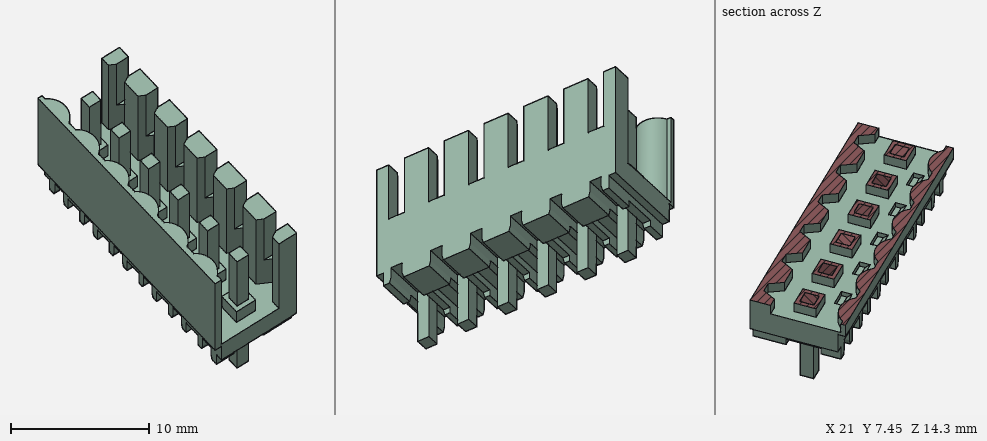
import cadquery as cq
import math


LENGTH = 21.0
DEPTH = 7.45
TOP_Z = 11.05
POLES = 6
PITCH = LENGTH / POLES

FLOOR_Z = 3.13
BASE_FRONT_Y = 0.59
FOOT_HEIGHT = 1.18
FOOT_INSET = 0.59
CHANNEL_FRONT_Y = 2.16
CHANNEL_BACK_Y = 4.87
CHANNEL_HEIGHT = 0.52
FOOT_GAP_WIDTH = 1.39

WALL_BOTTOM_Z = 2.85
WALL_THICKNESS = 0.45
WALL_LEFT_END_THICKNESS = 0.38
WALL_RIGHT_END_THICKNESS = 0.59
SCALLOP_CREST_Y = 1.15
SCALLOP_RADIUS = 1.64

BACK_WALL_FRONT_Y = 5.84
RECESS_BACK_Y = 6.89
RECESS_FRONT_WIDTH = 1.95
RECESS_BACK_WIDTH = 0.78
SLOT_WIDTH = 1.36
SLOT_BOTTOM_Z = 6.0

POCKET_WIDTH = 1.39
POCKET_FRONT_Y = 1.15
POCKET_RAMP_RUN = 0.4
POCKET_BACK_Y = 2.0
POCKET_DEPTH = 0.4

PIN_WIDTH = 0.99
PIN_DEPTH = 1.05
PIN_Y = 3.5
PIN_BOTTOM_Z = -3.21
PIN_TOP_Z = 9.87
COLLAR_SIZE = 1.75
COLLAR_TOP_Z = 4.43
PIN_CHANNEL_HEIGHT = 1.36
MOUTH_FLARE = 0.13
MOUTH_HEIGHT = 0.46

pin_xs = [(i - (POLES - 1) / 2) * PITCH for i in range(POLES)]
between_xs = [x + PITCH / 2 for x in pin_xs[:-1]]


def block(x0, x1, y0, y1, z0, z1):
    """Box between two opposite corners."""
    return cq.Workplane("XY").box(x1 - x0, y1 - y0, z1 - z0, centered=False).translate((x0, y0, z0))


def centred_block(x, width, y0, y1, z0, z1):
    """Box of a given width, centred on x."""
    return block(x - width / 2, x + width / 2, y0, y1, z0, z1)


def make_base():
    """Base block standing on a narrower foot strip with a channel along its underside."""
    half = LENGTH / 2
    foot_half = half - FOOT_INSET
    base = block(-half, half, BASE_FRONT_Y, DEPTH, FOOT_HEIGHT, FLOOR_Z)
    feet = block(-foot_half, foot_half, BASE_FRONT_Y, DEPTH, 0, FOOT_HEIGHT)
    channel = block(-half, half, CHANNEL_FRONT_Y, CHANNEL_BACK_Y, 0, CHANNEL_HEIGHT)
    return base.union(feet).cut(channel)


def make_front_wall():
    """Front wall whose inner face bulges in a circular arc opposite every pin."""
    half = LENGTH / 2
    arc_centre_y = SCALLOP_CREST_Y - SCALLOP_RADIUS

    def arc_half_width(y):
        return math.sqrt(SCALLOP_RADIUS**2 - (y - arc_centre_y) ** 2)

    outline = cq.Workplane("XY").moveTo(-half, 0).lineTo(-half, WALL_LEFT_END_THICKNESS)
    for x in pin_xs:
        start_y = WALL_LEFT_END_THICKNESS if x == pin_xs[0] else WALL_THICKNESS
        end_y = WALL_RIGHT_END_THICKNESS if x == pin_xs[-1] else WALL_THICKNESS
        outline = outline.lineTo(x - arc_half_width(start_y), start_y)
        outline = outline.threePointArc((x, SCALLOP_CREST_Y), (x + arc_half_width(end_y), end_y))
    outline = outline.lineTo(half, WALL_RIGHT_END_THICKNESS).lineTo(half, 0).close()
    scalloped = outline.extrude(TOP_Z - FLOOR_Z).translate((0, 0, FLOOR_Z))
    lip = block(-half, half, 0, BASE_FRONT_Y, WALL_BOTTOM_Z, FLOOR_Z)
    return scalloped.union(lip)


def make_back_wall():
    """Back wall with tapered recesses, open to the back above the slot bottom."""
    wall = block(-LENGTH / 2, LENGTH / 2, BACK_WALL_FRONT_Y, DEPTH, FLOOR_Z, TOP_Z)
    for x in pin_xs:
        recess = (
            cq.Workplane("XY")
            .workplane(offset=FLOOR_Z)
            .polyline([
                (x - RECESS_FRONT_WIDTH / 2, BACK_WALL_FRONT_Y),
                (x + RECESS_FRONT_WIDTH / 2, BACK_WALL_FRONT_Y),
                (x + RECESS_BACK_WIDTH / 2, RECESS_BACK_Y),
                (x - RECESS_BACK_WIDTH / 2, RECESS_BACK_Y),
            ])
            .close()
            .extrude(TOP_Z - FLOOR_Z)
        )
        slot = centred_block(x, SLOT_WIDTH, BACK_WALL_FRONT_Y, DEPTH, SLOT_BOTTOM_Z, TOP_Z)
        wall = wall.cut(recess).cut(slot)
    return wall


def floor_pocket(x):
    """Pocket whose front side is a ramp and whose back side is upright."""
    pocket_z = FLOOR_Z - POCKET_DEPTH
    return (
        cq.Workplane("YZ")
        .polyline([
            (POCKET_FRONT_Y, FLOOR_Z),
            (POCKET_FRONT_Y + POCKET_RAMP_RUN, pocket_z),
            (POCKET_BACK_Y, pocket_z),
            (POCKET_BACK_Y, FLOOR_Z),
        ])
        .close()
        .extrude(POCKET_WIDTH / 2, both=True)
        .translate((x, 0, 0))
    )


def pin_channel(x):
    """Channel as wide as the pin, running from front to back, with a flared mouth."""
    half = PIN_WIDTH / 2
    return (
        cq.Workplane("XZ")
        .polyline([
            (x - half - MOUTH_FLARE, 0),
            (x - half, MOUTH_HEIGHT),
            (x - half, PIN_CHANNEL_HEIGHT),
            (x + half, PIN_CHANNEL_HEIGHT),
            (x + half, MOUTH_HEIGHT),
            (x + half + MOUTH_FLARE, 0),
        ])
        .close()
        .extrude(-DEPTH)
    )


def make_pin(x):
    """Straight pin of rectangular section, standing upright through the housing."""
    half_depth = PIN_DEPTH / 2
    return centred_block(x, PIN_WIDTH, PIN_Y - half_depth, PIN_Y + half_depth, PIN_BOTTOM_Z, PIN_TOP_Z)


def make_housing():
    """Housing: base, two walls, collars, and the openings in them."""
    housing = make_base().union(make_front_wall()).union(make_back_wall())
    collar_half = COLLAR_SIZE / 2
    for x in pin_xs:
        collar = centred_block(
            x, COLLAR_SIZE, PIN_Y - collar_half, PIN_Y + collar_half, FLOOR_Z, COLLAR_TOP_Z
        )
        housing = housing.union(collar).cut(pin_channel(x)).cut(make_pin(x))
    for x in between_xs:
        foot_gap = centred_block(x, FOOT_GAP_WIDTH, BASE_FRONT_Y, CHANNEL_BACK_Y, 0, FOOT_HEIGHT)
        housing = housing.cut(foot_gap).cut(floor_pocket(x))
    return housing


housing = make_housing()
pins = [make_pin(x) for x in pin_xs]

result = cq.Compound.makeCompound([housing.val(), *[pin.val() for pin in pins]])